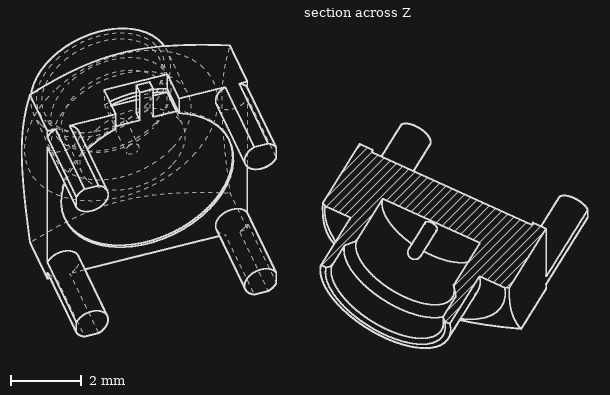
import cadquery as cq
import math


overall_length = 6.58
body_width = 5.99
half_width = body_width / 2
body_front = 1.78
body_back = 4.07
front_face_radius = 2.895
front_cone_angle = 30.0

socket_radius = 2.09
mouth_radius = 1.92
bore_radius = 1.8
inner_bore_radius = 1.58
mouth_chamfer = mouth_radius - bore_radius
taper_start = 0.895
taper_end = 1.185
socket_depth = 2.765

contact_radius = 0.2
contact_tip = 1.58

post_radius = 0.5
post_offset = 2.54

insulator_radius = 2.58
rear_recess_depth = 0.08
insulator_back = body_back - rear_recess_depth
pocket_front = 3.06
pocket_width = 1.895
flat_front = 3.2
flat_width = 1.79
flat_height = math.sqrt(insulator_radius**2 - (flat_width / 2) ** 2)

tail_length = 0.3
tail_width = 0.4
tail_top = 3.545


def block(x_start, x_end, width, z_bottom, z_top):
    """Box centred on y = 0 between the given X and Z limits."""
    return cq.Workplane("XY").box(
        x_end - x_start, width, z_top - z_bottom, centered=(False, True, False)
    ).translate((x_start, 0, z_bottom))


def rod(x_start, x_end, radius, y=0, z=0):
    """Cylinder parallel to X."""
    return cq.Workplane("YZ", origin=(x_start, y, z)).circle(radius).extrude(x_end - x_start)


def revolve_about_x(profile):
    """Turn a closed profile of (x, radius) sketched in the XY plane about the X axis."""
    return profile.close().revolve(360, (0, 0, 0), (1, 0, 0))


def make_body():
    """Square body with its front corners turned to a cone."""
    square = block(body_front, body_back, body_width, -half_width, half_width)
    outer_radius = body_width
    cone_length = (outer_radius - front_face_radius) * math.tan(math.radians(front_cone_angle))
    cone_end = body_front + cone_length
    envelope = revolve_about_x(
        cq.Workplane("XY")
        .moveTo(body_front, 0)
        .lineTo(body_front, front_face_radius)
        .lineTo(cone_end, outer_radius)
        .lineTo(overall_length, outer_radius)
        .lineTo(overall_length, 0)
    )
    return square.intersect(envelope)


def make_socket_cavity():
    """Stepped socket bore with a chamfered mouth and an inner taper."""
    return revolve_about_x(
        cq.Workplane("XY")
        .lineTo(0, mouth_radius)
        .lineTo(mouth_chamfer, bore_radius)
        .lineTo(taper_start, bore_radius)
        .lineTo(taper_end, inner_bore_radius)
        .lineTo(socket_depth, inner_bore_radius)
        .lineTo(socket_depth, 0)
    )


def make_contact():
    """Round-nosed pin standing on the socket floor."""
    nose_centre = contact_tip + contact_radius
    nose = cq.Workplane("XY").sphere(contact_radius).translate((nose_centre, 0, 0))
    return rod(nose_centre, insulator_back, contact_radius).union(nose)


def make_posts():
    """Four rear posts trimmed flush with the sides of the body."""
    posts = cq.Workplane("XY")
    for y in (-post_offset, post_offset):
        for z in (-post_offset, post_offset):
            posts = posts.union(rod(insulator_back, overall_length, post_radius, y, z))
    return posts.intersect(block(0, overall_length, body_width, -half_width, half_width))


def make_pocket():
    """Top pocket down to the round insulator and the flat cut across it."""
    pocket = block(pocket_front, body_back, pocket_width, 0, half_width)
    insulator = rod(pocket_front, insulator_back, insulator_radius)
    flat = block(flat_front, insulator_back, pocket_width, flat_height, half_width)
    return pocket.cut(insulator.cut(flat))


rear_recess = rod(insulator_back, body_back, insulator_radius)
tail = block(insulator_back - tail_length, insulator_back, tail_width, 0, tail_top)

result = (
    make_body()
    .union(rod(0, body_front, socket_radius))
    .cut(make_socket_cavity())
    .cut(rear_recess)
    .cut(make_pocket())
    .union(make_posts())
    .union(make_contact())
    .union(tail)
)